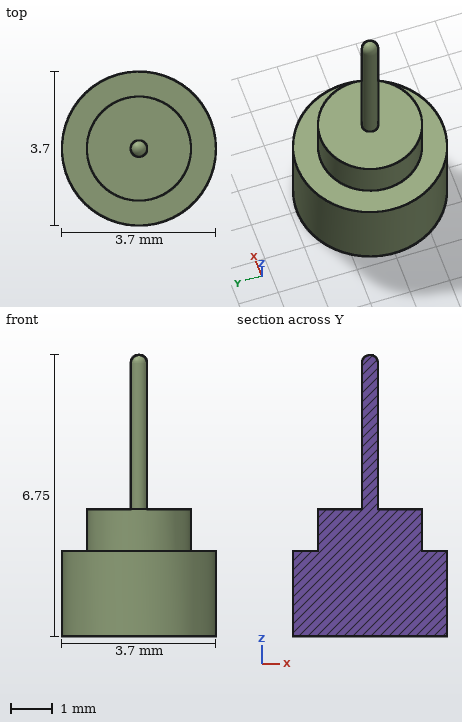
import cadquery as cq
import math

total_height = 6.75
base_diameter = 3.7
base_height = 2.05
collar_diameter = 2.5
collar_height = 1.0
insert_diameter = 1.95
pin_diameter = 0.4

base_radius = base_diameter / 2
collar_radius = collar_diameter / 2
insert_radius = insert_diameter / 2
pin_radius = pin_diameter / 2
collar_top = base_height + collar_height
dome_start = total_height - pin_radius
dome_mid_offset = pin_radius * math.sqrt(0.5)

half_section = (
    cq.Workplane("XZ")
    .moveTo(0, 0)
    .lineTo(base_radius, 0)
    .lineTo(base_radius, base_height)
    .lineTo(collar_radius, base_height)
    .lineTo(collar_radius, collar_top)
    .lineTo(insert_radius, collar_top)
    .lineTo(pin_radius, collar_top)
    .lineTo(pin_radius, dome_start)
    .threePointArc((dome_mid_offset, dome_start + dome_mid_offset), (0, total_height))
    .close()
)

result = half_section.revolve(360, (0, 0, 0), (0, 1, 0), clean=False)